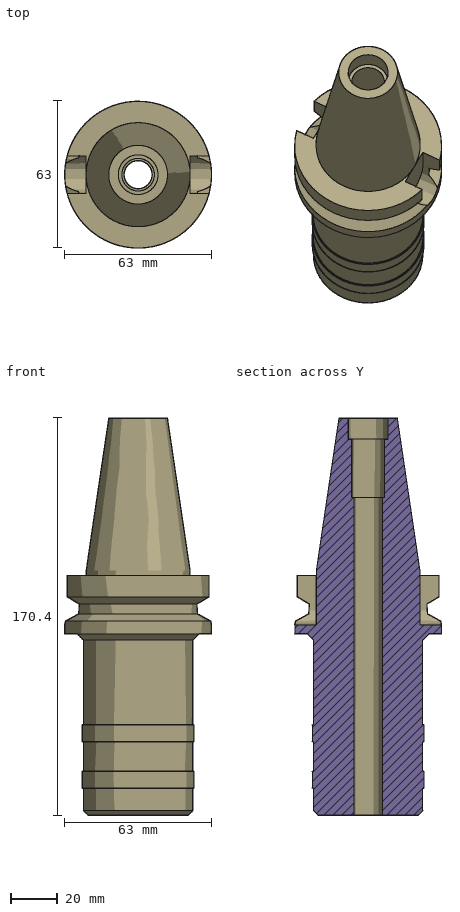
import cadquery as cq

total_height = 170.4
gauge_height = 105.0
flange_top = 103.0
flange_bottom = 77.9

taper_top_radius = 12.6
taper_base_radius = 22.3

flange_radius = 31.5
groove_radius = 26.5
groove_upper_rim = 93.7
groove_floor_top = 90.7
groove_floor_bottom = 86.4
groove_lower_rim = 83.3
collar_chamfer = 2.7

body_radius = 23.5
band_radius = 24.0
band_height = 7.7
band_bottoms = (31.4, 11.5)
band_chamfer = 0.3
body_end_chamfer = 2.0

slot_width = 16.0
slot_bottom = 81.8
slot_floor_offset = 22.3

entry_bore_radius = 8.5
entry_bore_depth = 9.0
thread_bore_radius = 7.0
thread_bore_depth = 34.0
through_bore_radius = 6.0


def turned_blank():
    """Revolve the taper, flange and body as one profile."""
    profile = [
        (0, 0),
        (body_radius - body_end_chamfer, 0),
        (body_radius, body_end_chamfer),
        (body_radius, flange_bottom - collar_chamfer),
        (body_radius + collar_chamfer, flange_bottom),
        (flange_radius, flange_bottom),
        (flange_radius, groove_lower_rim),
        (groove_radius, groove_floor_bottom),
        (groove_radius, groove_floor_top),
        (flange_radius, groove_upper_rim),
        (flange_radius, flange_top),
        (taper_base_radius, flange_top),
        (taper_base_radius, gauge_height),
        (taper_top_radius, total_height),
        (0, total_height),
    ]
    return cq.Workplane("XZ").polyline(profile).close().revolve(360, (0, 0), (0, 1))


def band(bottom):
    """Raised band around the body with both edges chamfered."""
    return (
        cq.Workplane("XY").workplane(offset=bottom)
        .circle(band_radius).extrude(band_height)
        .edges().chamfer(band_chamfer)
    )


def drive_slot(side):
    """Round-bottomed slot cutter, open upward, on the +X (1) or -X (-1) side."""
    half_width = slot_width / 2
    arc_center = slot_bottom + half_width
    return (
        cq.Workplane("YZ").workplane(offset=side * slot_floor_offset)
        .moveTo(-half_width, flange_top)
        .lineTo(-half_width, arc_center)
        .threePointArc((0, slot_bottom), (half_width, arc_center))
        .lineTo(half_width, flange_top)
        .close()
        .extrude(side * flange_radius)
    )


def bore(radius, depth):
    """Bore cutter reaching down from the small end of the taper."""
    return cq.Workplane("XY").workplane(offset=total_height - depth).circle(radius).extrude(depth)


result = turned_blank()
for bottom in band_bottoms:
    result = result.union(band(bottom))
for side in (-1, 1):
    result = result.cut(drive_slot(side))
for radius, depth in (
    (entry_bore_radius, entry_bore_depth),
    (thread_bore_radius, thread_bore_depth),
    (through_bore_radius, total_height),
):
    result = result.cut(bore(radius, depth))